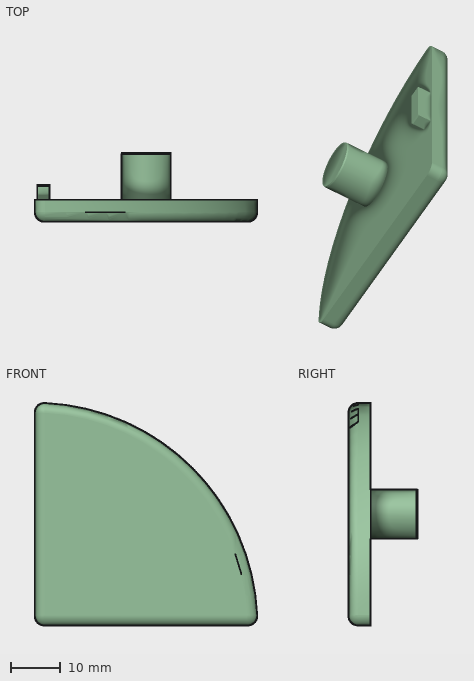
import cadquery as cq
import math

plate_radius = 45.0
plate_thickness = 4.5
edge_radius = 2.0

peg_diameter = 10.0
peg_length = 9.5
peg_center = plate_radius / 2

tab_inset = 0.5
tab_thickness = 2.5
tab_width = peg_diameter
tab_length = 3.0

lead_in_length = 0.3
lead_in_depth = 0.1


def back_workplane():
    """Plane of the plate's back face, with local x = X, local y = Z and its normal along -Y."""
    return cq.Workplane(cq.Plane(origin=(0, plate_thickness, 0), xDir=(1, 0, 0), normal=(0, -1, 0)))


def make_plate():
    """Quarter disc with rounded corners and a fully rounded front rim."""
    mid_arc = plate_radius * math.sqrt(0.5)
    sector = (
        cq.Workplane("XZ")
        .lineTo(plate_radius, 0)
        .threePointArc((mid_arc, mid_arc), (0, plate_radius))
        .close()
        .extrude(-plate_thickness)
    )
    return sector.edges("|Y").fillet(edge_radius).faces("<Y").edges().fillet(edge_radius)


def make_peg():
    """Cylindrical peg with a chamfered free end."""
    peg = back_workplane().center(peg_center, peg_center).circle(peg_diameter / 2).extrude(-peg_length)
    return peg.faces(">Y").edges().chamfer(lead_in_length, lead_in_depth)


def make_tab():
    """Rectangular tab level with the peg, its upper and lower end edges chamfered."""
    tab = (
        back_workplane()
        .center(tab_inset + tab_thickness / 2, peg_center)
        .rect(tab_thickness, tab_width)
        .extrude(-tab_length)
    )
    return tab.faces(">Y").edges("|X").chamfer(lead_in_length, lead_in_depth)


result = make_plate().union(make_peg()).union(make_tab())